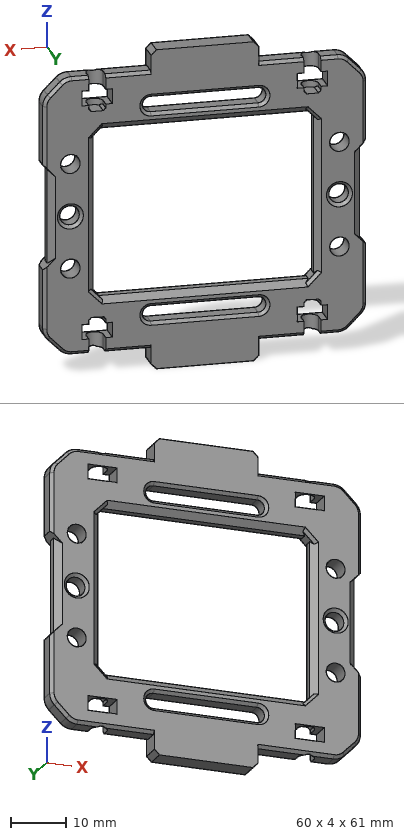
import cadquery as cq
import math

width = 60.0
height = 61.0
thickness = 4.0

plate_height = 53.0
corner_cut = 4.0
corner_radius = 3.0
edge_chamfer = 0.6

tab_width = 20.0
tab_corner_cut = 1.0

notch_mouth_length = 20.0
notch_depth = 1.0
notch_chamfer = 1.2

window_width = 40.95
window_height = 32.0
window_chamfer = 1.2
window_corner_cut = 1.0
window_corner_chamfer = 0.6

slot_width = 2.9
slot_straight_length = 20.0
slot_spacing = 40.0
slot_chamfer = 0.6

hole_diameter = 3.6
hole_spacing_x = 50.0
hole_pitch = 10.0
countersink_chamfer = 0.6

nut_width = 5.6
nut_height = 2.8
nut_spacing_x = 40.0
nut_spacing_z = 44.65
channel_width = 3.2
channel_beyond_nut = 1.2
channel_end_cut = 0.5


def block(size_x, size_z):
    """Centred block with the full plate thickness."""
    return cq.Workplane("XY").box(size_x, thickness, size_z)


def mirrored(shape, plane):
    """The shape together with its mirror image in a plane through the origin."""
    return shape.union(shape.mirror(plane))


def face_plane(depth):
    """XZ sketch plane facing +Y, at the given depth toward -Y from the mid-plane."""
    return cq.Workplane("ZX").workplane(offset=-depth).transformed(rotate=(0, 0, 90))


def opening(outline, chamfer):
    """Through cutter flared at both faces.

    outline(plane, margin) sketches the opening on the plane, grown by the margin on all sides.
    """
    straight = outline(face_plane(thickness / 2), 0).extrude(thickness)
    flare = outline(face_plane(thickness / 2), chamfer).extrude(chamfer, taper=45)
    return straight.union(mirrored(flare, "XZ"))


def make_plate():
    plate = block(width, plate_height).edges("|Y").chamfer(corner_cut)
    plate = plate.edges("|Y").fillet(corner_radius)
    plate = plate.faces("<Y or >Y").chamfer(edge_chamfer)
    tabs = block(tab_width, height).edges("|Y").chamfer(tab_corner_cut)
    return plate.union(tabs)


def make_notches():
    side = -width / 2
    floor = side + notch_depth
    inner = floor + notch_chamfer
    half_mouth = notch_mouth_length / 2
    half_inner = half_mouth - (inner - side)
    face = thickness / 2
    land = face - notch_chamfer
    trapezoid = (
        cq.Workplane("XZ")
        .polyline([(side, -half_mouth), (side, half_mouth), (inner, half_inner), (inner, -half_inner)])
        .close()
        .extrude(face, both=True)
    )
    floor_profile = (
        cq.Workplane("XY")
        .polyline([(side, -face), (inner, -face), (floor, -land), (floor, land), (inner, face), (side, face)])
        .close()
        .extrude(half_mouth, both=True)
    )
    return mirrored(trapezoid.intersect(floor_profile), "YZ")


def window_rectangle(plane, margin):
    return plane.rect(window_width + 2 * margin, window_height + 2 * margin)


def window_diamond(plane, margin):
    reach = (window_width + window_height) / 2 - window_corner_cut + margin * math.sqrt(2)
    return plane.polyline([(reach, 0), (0, reach), (-reach, 0), (0, -reach)]).close()


def make_window():
    rectangle = opening(window_rectangle, window_chamfer)
    diamond = opening(window_diamond, window_corner_chamfer)
    return rectangle.intersect(diamond)


def slot_outline(plane, margin):
    end_diameter = slot_width + 2 * margin
    return plane.slot2D(slot_straight_length + end_diameter, end_diameter)


def make_slots():
    slot = opening(slot_outline, slot_chamfer).translate((0, 0, slot_spacing / 2))
    return mirrored(slot, "XY")


def hole_outline(plane, margin):
    return plane.circle(hole_diameter / 2 + margin)


def make_side_holes():
    plain = hole_outline(face_plane(thickness / 2), 0).extrude(thickness)
    column = opening(hole_outline, countersink_chamfer)
    column = column.union(mirrored(plain.translate((0, 0, hole_pitch)), "XY"))
    return mirrored(column.translate((hole_spacing_x / 2, 0, 0)), "YZ")


def make_nut_pockets():
    pocket = block(nut_width, nut_height).translate((nut_spacing_x / 2, 0, nut_spacing_z / 2))
    channel_end = (nut_spacing_z - nut_height) / 2 - channel_beyond_nut
    channel_length = plate_height / 2 - channel_end
    bore = cq.Workplane("XY").circle(channel_width / 2).extrude(channel_length)
    back_slot = cq.Workplane("XY").rect(channel_width, thickness / 2).extrude(channel_length)
    channel = bore.union(back_slot.translate((0, thickness / 4, 0)))
    envelope = cq.Workplane("XY").box(channel_width, thickness, channel_length, centered=(True, True, False))
    envelope = envelope.faces("<Z").edges("|Y").chamfer(channel_end_cut)
    channel = channel.intersect(envelope).translate((nut_spacing_x / 2, 0, channel_end))
    return mirrored(mirrored(pocket.union(channel), "YZ"), "XY")


result = (
    make_plate()
    .cut(make_notches())
    .cut(make_window())
    .cut(make_slots())
    .cut(make_side_holes())
    .cut(make_nut_pockets())
)